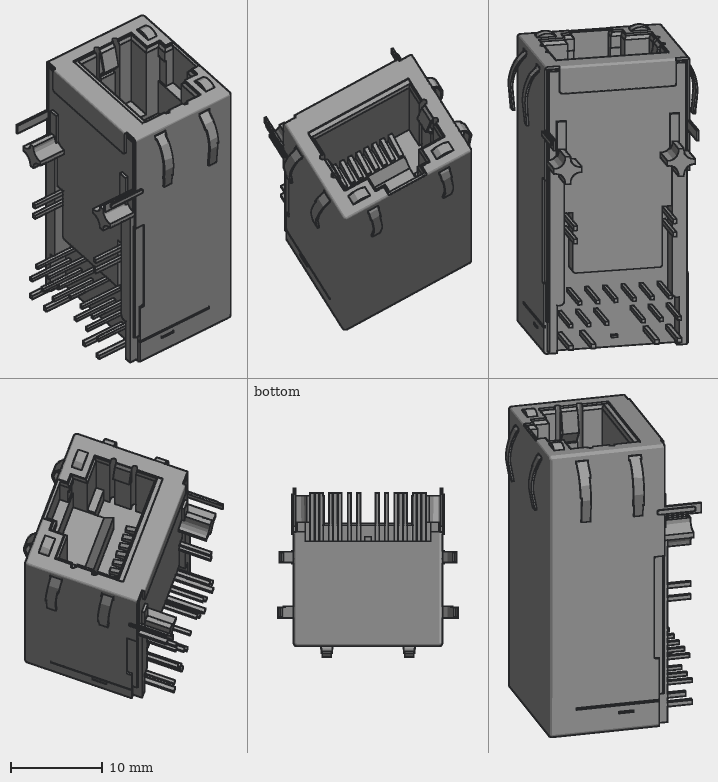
import cadquery as cq
import math


SHIELD_HALF_WIDTH = 8.15
SHIELD_DEPTH = 13.15
SHIELD_TOP = 33.0
SHIELD_THICKNESS = 0.25
BEND_RADIUS = 0.4

CLEARANCE = 0.35

FLAP_HALF_WIDTH = 6.55
FLAP_BOTTOM = 29.9
FLAP_FRONT = -0.35
FLAP_CORNER = 0.3
FLAP_BEND_RADIUS = 0.3

EDGE_CUT_TOP = 20.05
EDGE_CUT_STEP = 8.1
EDGE_CUT_CORNER = 0.25
UPPER_EDGE_Y = 1.2
LOWER_EDGE_Y = 0.65

BODY_HALF_WIDTH = SHIELD_HALF_WIDTH - SHIELD_THICKNESS
SHOULDER_HALF_WIDTH = 7.82
FACE_HALF_WIDTH = 7.72
FACE_Y = -0.1
FACE_SHOULDER_Y = 0.15
FACE_TOP = 32.45
FACE_SEAM_TOP_WALL = 0.35
BODY_BOTTOM = 0.35
SHOULDER_BOTTOM = 3.8

RAIL_FRONT = -0.45
RAIL_INNER = 6.08
RAIL_FOOT_INNER = 6.88
RAIL_FOOT_TOP = 5.78
RAIL_FOOT_CHAMFER = 0.3
RIB_INNER = 5.85
RIB_TOP = 26.75

BAY_FLOOR_Y = 1.67
BAY_TOP = 16.17
COVER_HALF_WIDTH = 5.05
COVER_BOTTOM = 9.25
COVER_CORNER = 0.35

POST_X = 6.38
POST_Z = 22.05
POST_TIP = -3.35
POST_REACH = 1.57
POST_TIP_HALF = 0.3
POST_WAIST = 0.65

PIN_TIP = -3.65
PIN_ROOT_DEPTH = 0.35
PIN_SIZE = 0.4
WIDE_PIN_SIZE = 0.5
PIN_PITCH = 1.02
LED_PIN_X = 5.58
LED_PIN_ROWS = (15.47, 13.95)
UPPER_ROW_Z = 6.88
MIDDLE_ROW_Z = 4.35
LOWER_ROW_Z = 1.85
STUB_HALF_WIDTH = 0.35
STUB_HEIGHT = 0.25
STUB_Z = 1.3
STUB_LENGTH = 0.5

TAIL_TIP = -4.15
TAIL_TOP = 25.8
TAIL_BOTTOM = 24.65
TAIL_ROOT_Y = 1.35
BEAD_HEIGHT = 0.17
BEAD_WIDTH = 0.55
BEAD_START = 0.9
BEAD_END = -3.47

SPRING_TOP = 32.07
SPRING_THICKNESS = 0.25
SPRING_ROOT_Z = 31.87
SPRING_ROOT_DEPTH = 0.17
UPPER_SPRING_REACH = 9.85 - SHIELD_HALF_WIDTH
LOWER_SPRING_REACH = 9.72 - SHIELD_HALF_WIDTH
SIDE_SPRING_BEND = 0.77
SIDE_SPRING_BEND_Z = 31.1
SIDE_SPRING_CURL = 0.25
SIDE_SPRING_END = 25.55
REAR_SPRING_REACH = 14.33 - SHIELD_DEPTH
REAR_SPRING_BEND = 0.25
REAR_SPRING_BEND_Z = 31.6
REAR_SPRING_CURL = 0.45
REAR_SPRING_END = 25.73
SPRING_PEAK_Z = 28.13
UPPER_SPRING_STEPS = ((30.5, -0.67, 0.65), (28.45, -0.55, 0.65), (SIDE_SPRING_END, -0.55, 0.5))
LOWER_SPRING_STEPS = ((31.7, -0.75, 0.75), (26.83, -0.6, 0.6), (SIDE_SPRING_END, -0.5, 0.5))
REAR_SPRING_STEPS = ((REAR_SPRING_BEND_Z, -0.67, 0.67), (30.5, -0.6, 0.6), (REAR_SPRING_END, -0.5, 0.5))
SPRING_SLOT_RISE = 0.1
SPRING_SLOT_DEPTH = 0.17
SPRING_SLOT_WIDTH = 1.4
UPPER_SPRING_Y = 9.42
LOWER_SPRING_Y = 3.4
REAR_SPRING_X = 4.5

LENS_X = 5.28
LENS_WIDTH = 2.15
LENS_Y = 10.93
LENS_LENGTH = 1.17
LENS_TOP = 33.4

MOUTH_HALF_WIDTH = 6.35
MOUTH_FRONT = 2.27
MOUTH_REAR = 10.2
LATCH_HALF_WIDTH = 3.45
LATCH_REAR = 11.93
KEY_HALF_WIDTH = 2.4
KEY_REAR = 13.03

CAVITY_HALF_WIDTH = 5.98
CAVITY_FRONT = 3.07
CAVITY_REAR = 9.9
STOP_HALF_WIDTH = 3.2
STOP_REAR = 11.55
KEY_CHANNEL_HALF_WIDTH = 2.05
KEY_CHANNEL_REAR = 12.7
LIP_WIDTH = 0.25
LIP_DEPTH = 0.4
CAVITY_FLOOR = 20.05
LEDGE_FRONT = 9.0
LEDGE_TOP = 23.4
STOP_FRONT = 6.85
STOP_SLOPE_REAR = 7.95
STOP_TOP = 22.72
KEY_FLOOR = 27.4
KEY_UNDERCUT_REAR = 11.73
KEY_UNDERCUT_TOP = 31.05

CONTACT_COUNT = 8
CONTACT_PITCH = 1.02
CONTACT_WIDTH = 0.5
CONTACT_REAR = 5.55
CONTACT_FRONT_HEIGHT = 1.67
CONTACT_REAR_HEIGHT = 0.67

FINGER_Y = 6.78
FINGER_WIDTH = 1.87
FINGER_INNER = 5.38
FINGER_SHOULDER_Z = 32.47
FINGER_KNEE_Z = 30.07
FINGER_POCKET_BOTTOM = 28.73
SLOT_WIDTH = 0.6
SLOT_OUTER = 6.7

SLIT_HEIGHT = 0.2
SLIT_DEPTH = 0.17
LONG_SLIT_Z = 3.15
LONG_SLIT_REAR = 10.05
SHORT_SLIT_Z = 2.2
SHORT_SLIT_FRONT = 3.57
SHORT_SLIT_REAR = 5.2


def block(x0, x1, y0, y1, z0, z1):
    """Axis-aligned box between opposite corners."""
    return cq.Workplane("XY").box(x1 - x0, y1 - y0, z1 - z0, centered=False).translate((x0, y0, z0))


def centred_block(half_width, y0, y1, z0, z1):
    """Box symmetric about X = 0."""
    return block(-half_width, half_width, y0, y1, z0, z1)


def both_sides(shape):
    """The shape together with its mirror image in X = 0."""
    return shape.union(shape.mirror("YZ"))


def shield_block():
    body = centred_block(SHIELD_HALF_WIDTH, 0, SHIELD_DEPTH, 0, SHIELD_TOP)
    return body.edges("|Z and >Y").fillet(BEND_RADIUS).faces(">Z or <Z").edges("not <Y").fillet(BEND_RADIUS)


def side_edge_cut():
    """Removes the stepped front edge of the side wall and bares the plastic shoulder."""
    outside = SHIELD_HALF_WIDTH + CLEARANCE
    upper = block(BODY_HALF_WIDTH, outside, -CLEARANCE, UPPER_EDGE_Y, EDGE_CUT_STEP, EDGE_CUT_TOP)
    upper = upper.edges("|X and >Y").fillet(EDGE_CUT_CORNER)
    lower = block(BODY_HALF_WIDTH, outside, -CLEARANCE, LOWER_EDGE_Y, 0, EDGE_CUT_STEP + EDGE_CUT_CORNER)
    shoulder = block(SHOULDER_HALF_WIDTH, outside, 0, FACE_SHOULDER_Y, SHOULDER_BOTTOM, EDGE_CUT_TOP)
    foot = block(FACE_HALF_WIDTH, outside, 0, LOWER_EDGE_Y, 0, SHOULDER_BOTTOM)
    sole = block(0, outside, 0, LOWER_EDGE_Y, 0, BODY_BOTTOM)
    return both_sides(upper.union(lower).union(shoulder).union(foot).union(sole))


def face_seam():
    """Shallow gap between the shield and the plastic face, along its sides and top."""
    seam_top = SHIELD_TOP - FACE_SEAM_TOP_WALL
    side = block(FACE_HALF_WIDTH, BODY_HALF_WIDTH, 0, FACE_SHOULDER_Y, EDGE_CUT_TOP, seam_top)
    top = block(FLAP_HALF_WIDTH, BODY_HALF_WIDTH, 0, FACE_SHOULDER_Y, FACE_TOP, seam_top)
    return both_sides(side.union(top))


def front_flap():
    flap = centred_block(FLAP_HALF_WIDTH, FLAP_FRONT, 0, FLAP_BOTTOM, SHIELD_TOP)
    flap = flap.edges("|Y and <Z").fillet(FLAP_CORNER)
    return flap.edges("|X and >Z and <Y").fillet(FLAP_BEND_RADIUS)


def tails():
    plate = block(BODY_HALF_WIDTH, SHIELD_HALF_WIDTH, TAIL_TIP, TAIL_ROOT_Y, TAIL_BOTTOM, TAIL_TOP)
    bead_centre = (BODY_HALF_WIDTH, (BEAD_START + BEAD_END) / 2, (TAIL_TOP + TAIL_BOTTOM) / 2)
    bead = (
        cq.Workplane("YZ", origin=bead_centre)
        .slot2D(BEAD_START - BEAD_END, BEAD_WIDTH)
        .extrude(SHIELD_THICKNESS + BEAD_HEIGHT)
    )
    return both_sides(plate.union(bead))


def slits():
    depth_start = SHIELD_HALF_WIDTH - SLIT_DEPTH
    outside = SHIELD_HALF_WIDTH + CLEARANCE
    spans = (
        (LONG_SLIT_Z, LOWER_EDGE_Y, LONG_SLIT_REAR),
        (SHORT_SLIT_Z, SHORT_SLIT_FRONT, SHORT_SLIT_REAR),
    )
    cuts = cq.Workplane("XY")
    for z, front, rear in spans:
        bottom = z - SLIT_HEIGHT / 2
        cuts = cuts.union(block(depth_start, outside, front, rear, bottom, bottom + SLIT_HEIGHT))
    return both_sides(cuts)


def spring_blank(reach, bend, bend_z, curl, end_z):
    """Wide bowed sheet leaving the wall at X = 0 and bowing toward +X."""
    thickness = SPRING_THICKNESS
    rise = reach - bend
    drop = bend_z - SPRING_PEAK_Z
    radius = (rise**2 + drop**2) / (2 * rise)
    bulge = reach - radius + math.sqrt(radius**2 - (drop / 2) ** 2)
    bulge_z = SPRING_PEAK_Z + drop / 2
    tip = reach - curl
    return (
        cq.Workplane("XZ")
        .moveTo(-SPRING_ROOT_DEPTH, SPRING_TOP)
        .lineTo(0, SPRING_ROOT_Z)
        .lineTo(bend, bend_z)
        .threePointArc((bulge, bulge_z), (reach, SPRING_PEAK_Z))
        .lineTo(tip, end_z)
        .lineTo(tip - thickness, end_z)
        .lineTo(reach - thickness, SPRING_PEAK_Z)
        .threePointArc((bulge - thickness, bulge_z), (bend - thickness, bend_z))
        .lineTo(0, SPRING_ROOT_Z - thickness)
        .lineTo(-SPRING_ROOT_DEPTH, SPRING_ROOT_Z - thickness)
        .close()
        .extrude(SHIELD_HALF_WIDTH, both=True)
    )


def spring(blank, steps):
    """Strip narrowed in steps; each step is (lower end, one edge, other edge)."""
    strip = cq.Workplane("XY")
    top = SPRING_TOP
    outside = SHIELD_HALF_WIDTH
    for bottom, edge_a, edge_b in steps:
        strip = strip.union(blank.intersect(block(-SPRING_ROOT_DEPTH, outside, edge_a, edge_b, bottom, top)))
        top = bottom
    return strip


def springs():
    side_shape = (SIDE_SPRING_BEND, SIDE_SPRING_BEND_Z, SIDE_SPRING_CURL, SIDE_SPRING_END)
    rear_shape = (REAR_SPRING_BEND, REAR_SPRING_BEND_Z, REAR_SPRING_CURL, REAR_SPRING_END)
    upper = spring(
        spring_blank(UPPER_SPRING_REACH, *side_shape),
        UPPER_SPRING_STEPS,
    )
    lower = spring(
        spring_blank(LOWER_SPRING_REACH, *side_shape),
        LOWER_SPRING_STEPS,
    )
    back = spring(
        spring_blank(REAR_SPRING_REACH, *rear_shape),
        REAR_SPRING_STEPS,
    )
    flank = upper.translate((SHIELD_HALF_WIDTH, UPPER_SPRING_Y, 0))
    flank = flank.union(lower.translate((SHIELD_HALF_WIDTH, LOWER_SPRING_Y, 0)))
    back = back.rotate((0, 0, 0), (0, 0, 1), 90).translate((REAR_SPRING_X, SHIELD_DEPTH, 0))
    return both_sides(flank.union(back))


def spring_slots():
    """Shallow slots in the shield sides just above the spring roots."""
    depth_start = SHIELD_HALF_WIDTH - SPRING_SLOT_DEPTH
    outside = SHIELD_HALF_WIDTH + CLEARANCE
    top = SPRING_TOP + SPRING_SLOT_RISE
    cuts = cq.Workplane("XY")
    for y in (UPPER_SPRING_Y, LOWER_SPRING_Y):
        front = y - SPRING_SLOT_WIDTH / 2
        rear = y + SPRING_SLOT_WIDTH / 2
        cuts = cuts.union(block(depth_start, outside, front, rear, SPRING_ROOT_Z, top))
    return both_sides(cuts)


def board_face():
    return centred_block(FACE_HALF_WIDTH, FACE_Y, FACE_SHOULDER_Y, BODY_BOTTOM, FACE_TOP)


def rails():
    rail = block(RAIL_INNER, FACE_HALF_WIDTH, RAIL_FRONT, FACE_Y, RAIL_FOOT_TOP, POST_Z)
    foot = block(RAIL_FOOT_INNER, FACE_HALF_WIDTH, RAIL_FRONT, FACE_Y, BODY_BOTTOM, RAIL_FOOT_TOP)
    rib = block(RIB_INNER, RAIL_FOOT_INNER, RAIL_FRONT, FACE_Y, POST_Z, RIB_TOP)
    return both_sides(rail.union(foot).union(rib))


def pin_bay():
    """Recess around the pins, leaving the cover plate standing."""
    half = [
        (RAIL_FOOT_INNER, 0),
        (RAIL_FOOT_INNER, RAIL_FOOT_TOP),
        (RAIL_INNER + RAIL_FOOT_CHAMFER, RAIL_FOOT_TOP),
        (RAIL_INNER, RAIL_FOOT_TOP + RAIL_FOOT_CHAMFER),
        (RAIL_INNER, BAY_TOP),
    ]
    bay = (
        cq.Workplane("XZ", origin=(0, RAIL_FRONT, 0))
        .polyline(half + [(-x, z) for x, z in reversed(half)])
        .close()
        .extrude(RAIL_FRONT - BAY_FLOOR_Y)
    )
    cover = centred_block(COVER_HALF_WIDTH, RAIL_FRONT, BAY_FLOOR_Y, COVER_BOTTOM, BAY_TOP)
    return bay.cut(cover.edges("|Y and <Z").fillet(COVER_CORNER))


def posts():
    """Four-pointed star with concave flanks, one arm per quarter turn."""
    star = cq.Workplane("XZ").moveTo(POST_REACH, -POST_TIP_HALF)
    for quarter in range(4):
        angle = quarter * math.pi / 2
        cos_a = round(math.cos(angle))
        sin_a = round(math.sin(angle))

        def turned(x, z):
            return (x * cos_a - z * sin_a, x * sin_a + z * cos_a)

        star = star.lineTo(*turned(POST_REACH, POST_TIP_HALF))
        star = star.threePointArc(turned(POST_WAIST, POST_WAIST), turned(POST_TIP_HALF, POST_REACH))
    post = star.close().extrude(FACE_SHOULDER_Y - POST_TIP)
    return both_sides(post.translate((POST_X, FACE_SHOULDER_Y, POST_Z)))


def pin(x, z, width, height):
    return block(x - width / 2, x + width / 2, PIN_TIP, BAY_FLOOR_Y + PIN_ROOT_DEPTH, z - height / 2, z + height / 2)


def pins():
    group = cq.Workplane("XY")
    for z in LED_PIN_ROWS:
        group = group.union(pin(LED_PIN_X, z, PIN_SIZE, WIDE_PIN_SIZE))
    for step in (1, 3, 5):
        group = group.union(pin(step * PIN_PITCH, UPPER_ROW_Z, PIN_SIZE, PIN_SIZE))
    for step in (2, 4, 6):
        group = group.union(pin(step * PIN_PITCH, MIDDLE_ROW_Z, PIN_SIZE, PIN_SIZE))
    for step in (3.5, 6):
        group = group.union(pin(step * PIN_PITCH, LOWER_ROW_Z, WIDE_PIN_SIZE, WIDE_PIN_SIZE))
    return both_sides(group)


def stub():
    """Small tab on the floor of the pin bay."""
    front = BAY_FLOOR_Y - STUB_LENGTH
    half_height = STUB_HEIGHT / 2
    return centred_block(STUB_HALF_WIDTH, front, BAY_FLOOR_Y, STUB_Z - half_height, STUB_Z + half_height)


def lenses():
    """Domed lens: a circular segment standing on the top of the shield."""
    lens = (
        cq.Workplane("XZ")
        .moveTo(-LENS_WIDTH / 2, SHIELD_TOP)
        .threePointArc((0, LENS_TOP), (LENS_WIDTH / 2, SHIELD_TOP))
        .close()
        .extrude(-LENS_LENGTH)
    )
    return both_sides(lens.translate((LENS_X, LENS_Y, 0)))


def shield_mouth():
    """Stepped opening through the top wall of the shield."""
    bottom = SHIELD_TOP - SHIELD_THICKNESS
    opening = centred_block(MOUTH_HALF_WIDTH, MOUTH_FRONT, MOUTH_REAR, bottom, SHIELD_TOP)
    opening = opening.union(centred_block(LATCH_HALF_WIDTH, MOUTH_REAR, LATCH_REAR, bottom, SHIELD_TOP))
    return opening.union(centred_block(KEY_HALF_WIDTH, LATCH_REAR, KEY_REAR, bottom, SHIELD_TOP))


def cavity_outline(margin):
    """Corners of the stepped cavity outline, widened by a margin except at its rear end."""
    front = CAVITY_FRONT - margin
    half = [
        (CAVITY_HALF_WIDTH + margin, front),
        (CAVITY_HALF_WIDTH + margin, CAVITY_REAR + margin),
        (STOP_HALF_WIDTH + margin, CAVITY_REAR + margin),
        (STOP_HALF_WIDTH + margin, STOP_REAR + margin),
        (KEY_CHANNEL_HALF_WIDTH + margin, STOP_REAR + margin),
        (KEY_CHANNEL_HALF_WIDTH + margin, KEY_CHANNEL_REAR),
    ]
    return half + [(-x, y) for x, y in reversed(half)]


def lip():
    """Lead-in slope narrowing from the shield opening to the cavity."""
    return (
        cq.Workplane("XY", origin=(0, 0, SHIELD_TOP - SHIELD_THICKNESS - LIP_DEPTH))
        .polyline(cavity_outline(0))
        .close()
        .workplane(offset=LIP_DEPTH)
        .polyline(cavity_outline(LIP_WIDTH))
        .close()
        .loft(ruled=True)
    )


def cavity():
    """Plug cavity with its rear ledge, latch stop and key channel."""
    room = (
        cq.Workplane("XY", origin=(0, 0, CAVITY_FLOOR))
        .polyline(cavity_outline(0))
        .close()
        .extrude(SHIELD_TOP - SHIELD_THICKNESS - CAVITY_FLOOR)
    )
    for side in (-1, 1):
        inner, outer = sorted((side * STOP_HALF_WIDTH, side * CAVITY_HALF_WIDTH))
        room = room.cut(block(inner, outer, LEDGE_FRONT, CAVITY_REAR, CAVITY_FLOOR, LEDGE_TOP))
    key_fill = centred_block(KEY_CHANNEL_HALF_WIDTH, STOP_REAR, KEY_CHANNEL_REAR, CAVITY_FLOOR, KEY_FLOOR)
    room = room.cut(key_fill)
    undercut = centred_block(STOP_HALF_WIDTH, STOP_REAR, KEY_UNDERCUT_REAR, KEY_FLOOR, KEY_UNDERCUT_TOP)
    stop = (
        cq.Workplane("YZ")
        .moveTo(STOP_FRONT, CAVITY_FLOOR)
        .lineTo(STOP_FRONT, STOP_TOP + STOP_SLOPE_REAR - STOP_FRONT)
        .lineTo(STOP_SLOPE_REAR, STOP_TOP)
        .lineTo(STOP_REAR, STOP_TOP)
        .lineTo(STOP_REAR, CAVITY_FLOOR)
        .close()
        .extrude(STOP_HALF_WIDTH, both=True)
    )
    return room.cut(stop).union(undercut)


def contacts():
    """Row of contacts on the cavity floor, their tops sloping down toward the rear."""
    wedge = (
        cq.Workplane("YZ")
        .moveTo(CAVITY_FRONT, CAVITY_FLOOR)
        .lineTo(CAVITY_FRONT, CAVITY_FLOOR + CONTACT_FRONT_HEIGHT)
        .lineTo(CONTACT_REAR, CAVITY_FLOOR + CONTACT_REAR_HEIGHT)
        .lineTo(CONTACT_REAR, CAVITY_FLOOR)
        .close()
        .extrude(CONTACT_WIDTH / 2, both=True)
    )
    row = cq.Workplane("XY")
    for index in range(CONTACT_COUNT):
        x = (index - (CONTACT_COUNT - 1) / 2) * CONTACT_PITCH
        row = row.union(wedge.translate((x, 0, 0)))
    return row


def finger_pockets():
    """Pocket behind each finger and the round-ended relief slots beside it."""
    half_width = FINGER_WIDTH / 2
    pocket = block(
        CAVITY_HALF_WIDTH, MOUTH_HALF_WIDTH,
        FINGER_Y - half_width, FINGER_Y + half_width,
        FINGER_POCKET_BOTTOM, SHIELD_TOP,
    )
    slot_length = 2 * (SLOT_OUTER - CAVITY_HALF_WIDTH)
    for side in (-1, 1):
        slot_y = FINGER_Y + side * (half_width + SLOT_WIDTH / 2)
        slot = (
            cq.Workplane("XY", origin=(CAVITY_HALF_WIDTH, slot_y, CAVITY_FLOOR))
            .slot2D(slot_length, SLOT_WIDTH)
            .extrude(SHIELD_TOP - CAVITY_FLOOR)
        )
        pocket = pocket.union(slot)
    return both_sides(pocket)


def fingers():
    """Bent strips leaning into the cavity and returning to its side walls."""
    finger = (
        cq.Workplane("XZ")
        .moveTo(MOUTH_HALF_WIDTH, SHIELD_TOP - SHIELD_THICKNESS)
        .lineTo(CAVITY_HALF_WIDTH, FINGER_SHOULDER_Z)
        .lineTo(FINGER_INNER, FINGER_KNEE_Z)
        .lineTo(MOUTH_HALF_WIDTH, FINGER_POCKET_BOTTOM)
        .lineTo(MOUTH_HALF_WIDTH, FINGER_POCKET_BOTTOM + SHIELD_THICKNESS)
        .lineTo(FINGER_INNER + SHIELD_THICKNESS, FINGER_KNEE_Z)
        .lineTo(CAVITY_HALF_WIDTH + SHIELD_THICKNESS, FINGER_SHOULDER_Z - SHIELD_THICKNESS)
        .lineTo(MOUTH_HALF_WIDTH, FINGER_SHOULDER_Z - SHIELD_THICKNESS)
        .close()
        .extrude(FINGER_WIDTH / 2, both=True)
    )
    return both_sides(finger.translate((0, FINGER_Y, 0)))


result = shield_block()

top_openings = (shield_mouth(), lip(), cavity(), finger_pockets())
side_cuts = (side_edge_cut(), face_seam(), spring_slots(), slits())
for recess in top_openings + side_cuts:
    result = result.cut(recess)

result = result.union(board_face()).union(rails()).cut(pin_bay())

board_parts = (front_flap(), posts(), pins(), stub(), tails())
upper_parts = (springs(), lenses(), contacts(), fingers())
for part in board_parts + upper_parts:
    result = result.union(part)